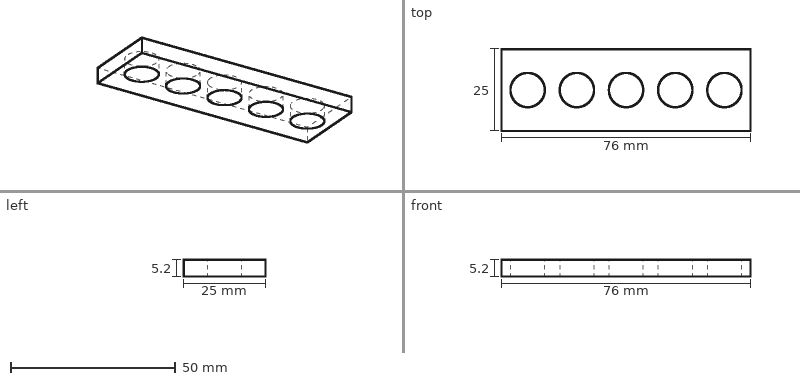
import cadquery as cq

length = 76.0
width = 25.0
thickness = 5.2

hole_count = 5
hole_pitch = 15.0
hole_diameter = 10.41


def make_plate():
    """Flat rectangular plate centred on the origin."""
    return cq.Workplane("XY").box(length, width, thickness)


def drill_hole_row(plate):
    """Drill the evenly spaced row of holes along X, right through the plate."""
    return (
        plate.faces(">Z")
        .workplane()
        .rarray(xSpacing=hole_pitch, ySpacing=hole_pitch, xCount=hole_count, yCount=1)
        .hole(hole_diameter)
    )


result = drill_hole_row(make_plate())